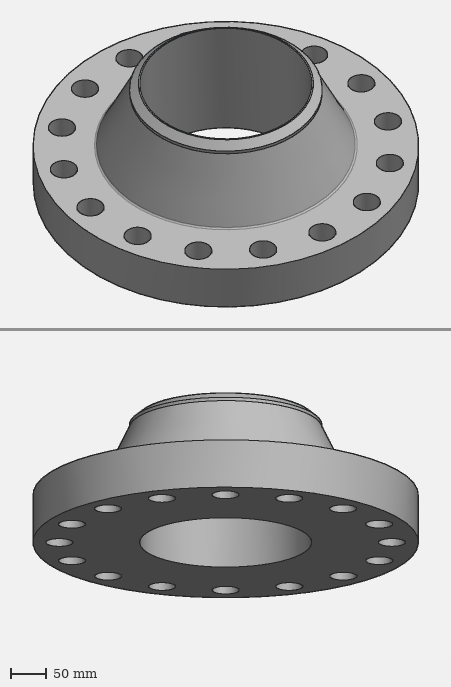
import cadquery as cq
import math

flange_diameter = 546.0
flange_thickness = 70.0
total_height = 184.0

hub_base_diameter = 368.0
hub_root_fillet = 3.5
neck_diameter = 273.0
neck_band_height = 5.0
bevel_height = 10.5
land_width = 2.0
bore_diameter = 243.5

bolt_hole_count = 16
bolt_hole_diameter = 38.0
bolt_circle_diameter = 470.5

flange_radius = flange_diameter / 2
hub_base_radius = hub_base_diameter / 2
neck_radius = neck_diameter / 2
bore_radius = bore_diameter / 2
bevel_base_z = total_height - bevel_height
neck_base_z = bevel_base_z - neck_band_height


def hub_root_arc():
    """Points of the fillet between plate and cone: on the plate, midway, on the cone."""
    cone_angle = math.atan2(neck_base_z - flange_thickness, hub_base_radius - neck_radius)
    tangent_length = hub_root_fillet * math.tan(cone_angle / 2)
    centre_r = hub_base_radius + tangent_length
    centre_z = flange_thickness + hub_root_fillet

    def arc_point(turn):
        return (
            centre_r - hub_root_fillet * math.sin(turn),
            centre_z - hub_root_fillet * math.cos(turn),
        )

    return arc_point(0), arc_point(cone_angle / 2), arc_point(cone_angle)


def flange_body():
    """Plate, filleted tapered hub, short neck and weld bevel, revolved around the bore."""
    root_start, root_middle, root_end = hub_root_arc()
    return (
        cq.Workplane("XZ")
        .moveTo(bore_radius, 0)
        .lineTo(flange_radius, 0)
        .lineTo(flange_radius, flange_thickness)
        .lineTo(*root_start)
        .threePointArc(root_middle, root_end)
        .lineTo(neck_radius, neck_base_z)
        .lineTo(neck_radius, bevel_base_z)
        .lineTo(bore_radius + land_width, total_height)
        .lineTo(bore_radius, total_height)
        .close()
        .revolve(360, (0, 0, 0), (0, 1, 0))
    )


def bolt_holes():
    """Ring of through-hole cutters, the first one on the X axis."""
    return (
        cq.Workplane("XY")
        .polarArray(bolt_circle_diameter / 2, 0, 360, bolt_hole_count)
        .circle(bolt_hole_diameter / 2)
        .extrude(flange_thickness)
    )


result = flange_body().cut(bolt_holes())